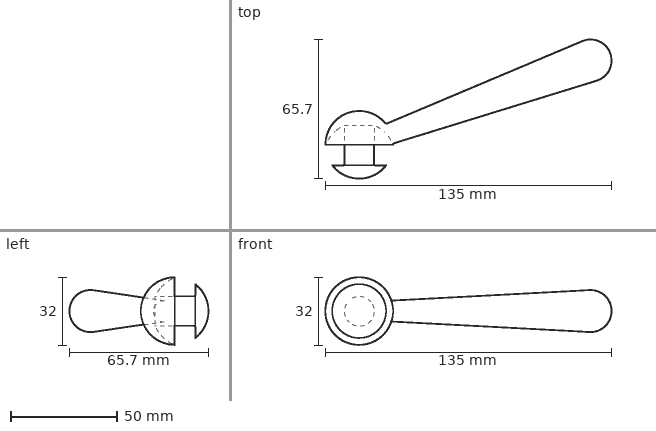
import cadquery as cq
import math

ball_radius = 16.0
button_face_y = -9.7
stem_radius = 7.0
stem_fillet = 0.7
cavity_depth = 10.8

handle_angle = 20
handle_length = 116.0
neck_radius = 5.0
tip_radius = 10.0
neck_fillet = 1.1
neck_start = 14.2


def make_dome():
    """Solid half ball on the +Y side of the origin."""
    half_height = ball_radius * math.sin(math.radians(45))
    return (
        cq.Workplane("XY")
        .lineTo(0, ball_radius)
        .threePointArc((half_height, half_height), (ball_radius, 0))
        .close()
        .revolve(360, (0, 0, 0), (0, 1, 0))
    )


def make_dish():
    """Cutter for the spherical hollow; its skirt trims the neck flush with the sharp rim."""
    skirt_radius = ball_radius + 2 * neck_fillet
    return (
        cq.Workplane("XY")
        .moveTo(0, -neck_fillet)
        .lineTo(0, cavity_depth)
        .threePointArc(dish_middle(), (ball_radius, 0))
        .lineTo(skirt_radius, 0)
        .lineTo(skirt_radius, -neck_fillet)
        .close()
        .revolve(360, (0, 0, 0), (0, 1, 0))
    )


def dish_middle():
    """Point on the dish arc halfway between its rim and its deepest point."""
    dish_radius = (ball_radius**2 + cavity_depth**2) / (2 * cavity_depth)
    half_angle = math.asin(ball_radius / dish_radius) / 2
    centre_y = cavity_depth - dish_radius
    return dish_radius * math.sin(half_angle), centre_y + dish_radius * math.cos(half_angle)


def make_stem_and_button():
    """Round stem from the dish to the ball-shaped button, flared where they meet."""
    stem_top = (cavity_depth + ball_radius) / 2
    button_radius = math.sqrt(ball_radius**2 - button_face_y**2)
    half_angle = math.asin(button_radius / ball_radius) / 2
    cap_middle = (ball_radius * math.sin(half_angle), -ball_radius * math.cos(half_angle))
    return (
        cq.Workplane("XY")
        .moveTo(0, stem_top)
        .lineTo(stem_radius, stem_top)
        .lineTo(stem_radius, button_face_y + stem_fillet)
        .radiusArc((stem_radius + stem_fillet, button_face_y), -stem_fillet)
        .lineTo(button_radius, button_face_y)
        .threePointArc(cap_middle, (0, -ball_radius))
        .close()
        .revolve(360, (0, 0, 0), (0, 1, 0))
    )


def make_handle():
    """Neck filleted to the ball, long taper and hemispherical tip."""
    fillet_centre_radius = neck_radius + neck_fillet
    taper_start = math.sqrt((ball_radius + neck_fillet) ** 2 - fillet_centre_radius**2)
    contact_ratio = ball_radius / (ball_radius + neck_fillet)
    ball_contact = (taper_start * contact_ratio, fillet_centre_radius * contact_ratio)
    tip_diagonal = tip_radius * math.sin(math.radians(45))
    return (
        cq.Workplane("XY")
        .moveTo(neck_start, 0)
        .lineTo(neck_start, ball_contact[1])
        .lineTo(*ball_contact)
        .radiusArc((taper_start, neck_radius), -neck_fillet)
        .lineTo(handle_length, tip_radius)
        .threePointArc((handle_length + tip_diagonal, tip_diagonal), (handle_length + tip_radius, 0))
        .close()
        .revolve(360, (0, 0, 0), (1, 0, 0))
        .rotate((0, 0, 0), (0, 0, 1), handle_angle)
    )


head_and_handle = make_dome().union(make_handle()).cut(make_dish())
result = head_and_handle.union(make_stem_and_button())